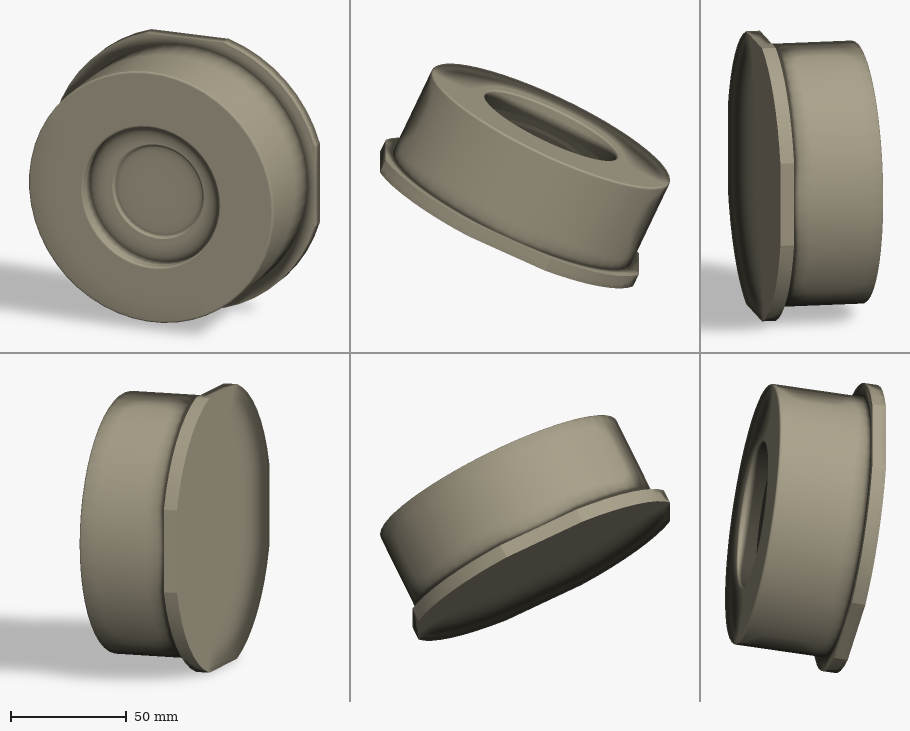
import cadquery as cq
across_flats = 120.4
total_depth = 46.0
front_y = -total_depth / 2
back_y = total_depth / 2

flange_diameter = 125.7
flange_thickness = 6.0
flange_front_y = back_y - flange_thickness

barrel_diameter = 113.7
recess_diameter = 63.1
recess_depth = 8.5
recess_floor_y = front_y + recess_depth

edge_radius = 1.0

cover_thickness = 0.4
core_front_y = front_y + cover_thickness
core_diameter = barrel_diameter - 2 * cover_thickness
core_recess_diameter = recess_diameter + 2 * cover_thickness

plug_diameter = 40.2
hole_rim_diameter = 42.6
chamfer_depth = (hole_rim_diameter - plug_diameter) / 2
plug_front_y = recess_floor_y + chamfer_depth


def disc(diameter, start_y, end_y):
    """Solid cylinder along Y between two Y positions."""
    return cq.Workplane("XZ", origin=(0, start_y, 0)).circle(diameter / 2).extrude(start_y - end_y)


def make_flange():
    """Round plate cut by four flats, with rounded corners."""
    flats = cq.Workplane("XY").box(across_flats, total_depth, across_flats)
    flange = disc(flange_diameter, flange_front_y, back_y).intersect(flats)
    return flange.edges("|Y").fillet(edge_radius)


def make_core():
    """Sharp-edged barrel with its front recess, on which the cover sits."""
    barrel = disc(core_diameter, core_front_y, flange_front_y)
    return barrel.cut(disc(core_recess_diameter, core_front_y, recess_floor_y))


def make_plug_hole():
    """Through hole for the plug with a 45 degree chamfer at the recess floor."""
    chamfer_start = cq.Vector(0, recess_floor_y, 0)
    inward = cq.Vector(0, 1, 0)
    chamfer = cq.Solid.makeCone(
        hole_rim_diameter / 2, plug_diameter / 2, chamfer_depth, chamfer_start, inward
    )
    return disc(plug_diameter, plug_front_y, back_y).union(cq.Workplane(chamfer))


def make_housing():
    """Flange and barrel core in one piece, bored for the plug."""
    return make_core().union(make_flange()).cut(make_plug_hole())


def make_cover():
    """Thin cover with rounded front rims, hollowed to fit the core."""
    cover = disc(barrel_diameter, front_y, flange_front_y)
    cover = cover.cut(disc(recess_diameter, front_y, flange_front_y))
    cover = cover.faces("<Y").edges().fillet(edge_radius)
    cover = cover.cut(make_core())
    return cover


def make_plug():
    """Plain round plug, flush with the back of the flange."""
    return disc(plug_diameter, plug_front_y, back_y)


housing = make_housing()
cover = make_cover()
plug = make_plug()

result = cq.Compound.makeCompound([housing.val(), cover.val(), plug.val()])